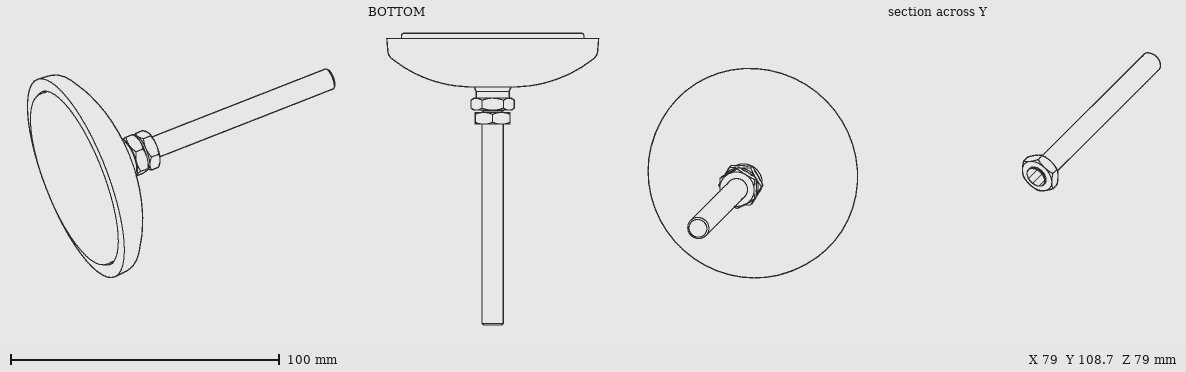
import cadquery as cq
import math

total_height = 108.7

pad_radius = 34.0
pad_edge_round = 1.1
pad_thickness = 3.9

base_diameter = 79.0
base_radius = base_diameter / 2
base_bottom = 2.0
rim_top_radius = 39.1
rim_top = 6.6
dome_edge_radius = 37.5
dome_edge = 9.7
dome_flat_radius = 8.7
dome_top = 20.1
recess_radius = 34.6

thread_radius = 4.0
tip_chamfer = 0.7
undercut_radius = 3.4
shoulder_edge = 28.9
shoulder_top = 29.3
neck_radius = 6.2
flare_radius = 6.8
flare_top = 21.7
stud_hex_bottom = 24.2
stud_hex_top = 28.7
stud_hex_width = 14.0

nut_bottom = 29.6
nut_top = 33.9
nut_width = 13.0

corner_angle = math.radians(35)
quarter_turn = 90


def revolve_about_y(profile):
    """Revolve a closed (radius, height) profile around the Y axis."""
    return profile.close().revolve(360, (0, 0, 0), (0, 1, 0))


def cylinder(radius, bottom, top):
    outline = [(0, bottom), (radius, bottom), (radius, top), (0, top)]
    return revolve_about_y(cq.Workplane("XY").polyline(outline))


def chamfered_hexagon(width, bottom, top, turn):
    """Hexagonal block along Y; with no turn two corners point along X."""
    corner_radius = width / math.sqrt(3)
    chamfer_height = (corner_radius - width / 2) * math.tan(corner_angle)
    block = (
        cq.Workplane("XZ", origin=(0, bottom, 0))
        .polygon(6, 2 * corner_radius)
        .extrude(bottom - top)
        .rotate((0, 0, 0), (0, 1, 0), turn)
    )
    trim = revolve_about_y(cq.Workplane("XY").polyline([
        (0, bottom),
        (width / 2, bottom),
        (corner_radius, bottom + chamfer_height),
        (corner_radius, top - chamfer_height),
        (width / 2, top),
        (0, top),
    ]))
    return block.intersect(trim)


def make_pad():
    return cylinder(pad_radius, 0, pad_thickness).faces("<Y").edges().fillet(pad_edge_round)


def make_base():
    dome = revolve_about_y(
        cq.Workplane("XY")
        .moveTo(0, base_bottom)
        .lineTo(base_radius, base_bottom)
        .lineTo(rim_top_radius, rim_top)
        .tangentArcPoint((dome_edge_radius, dome_edge), relative=False)
        .tangentArcPoint((dome_flat_radius, dome_top), relative=False)
        .lineTo(0, dome_top)
    )
    return dome.cut(cylinder(recess_radius, base_bottom, pad_thickness))


def make_stud():
    shaft = revolve_about_y(cq.Workplane("XY").polyline([
        (0, dome_top),
        (flare_radius, dome_top),
        (neck_radius, flare_top),
        (neck_radius, stud_hex_bottom),
        (thread_radius, stud_hex_bottom),
        (thread_radius, shoulder_edge),
        (undercut_radius, shoulder_top),
        (undercut_radius, nut_bottom),
        (thread_radius, nut_bottom),
        (thread_radius, total_height - tip_chamfer),
        (thread_radius - tip_chamfer, total_height),
        (0, total_height),
    ]))
    return shaft.union(chamfered_hexagon(stud_hex_width, stud_hex_bottom, stud_hex_top, 0))


def make_lock_nut():
    blank = chamfered_hexagon(nut_width, nut_bottom, nut_top, quarter_turn)
    return blank.cut(cylinder(thread_radius, nut_bottom, nut_top))


pad = make_pad()
base = make_base()
stud = make_stud()
lock_nut = make_lock_nut()

result = cq.Compound.makeCompound([pad.val(), base.val(), stud.val(), lock_nut.val()])